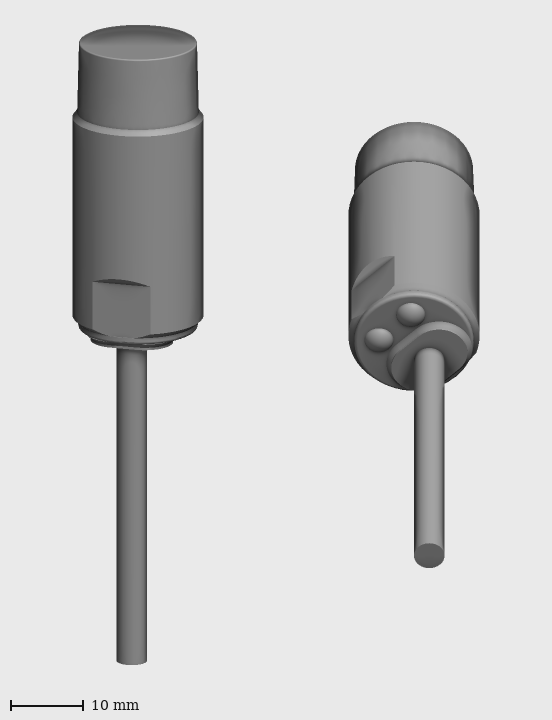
import cadquery as cq

total_height = 88.0
cap_length = 10.0
housing_length = 30.0
plate_thickness = 1.0
boss_height = 1.0

cap_base_z = total_height - cap_length
housing_base_z = cap_base_z - housing_length
plate_base_z = housing_base_z - plate_thickness
boss_base_z = plate_base_z - boss_height

housing_radius = 9.0
top_chamfer_width = 0.65
top_chamfer_height = 0.75
bottom_chamfer_width = 0.8
bottom_chamfer_height = 0.75
flat_distance = 8.0
flat_height = 7.6
flat_depth = housing_radius - flat_distance
end_radius = housing_radius - bottom_chamfer_width

cap_base_radius = housing_radius - top_chamfer_width
cap_face_radius = 8.1
cap_edge_fillet = 0.2

plate_fillet = 0.45
cable_y = -3.0
boss_length = 11.5
boss_width = 7.8
boss_flare = 0.65
flare_taper = 45.0

cable_radius = 2.1

dome_x = 3.05
dome_y = 3.75
dome_base_radius = 2.0
dome_height = 1.2
dome_sphere_radius = (dome_base_radius**2 + dome_height**2) / (2 * dome_height)


def disc(base_z, radius, height):
    """Plain cylinder on the main axis, standing on base_z."""
    return cq.Workplane("XY").workplane(offset=base_z).circle(radius).extrude(height)


def make_cap():
    """Solid sensing cap that narrows slightly towards its face."""
    return (
        cq.Workplane("XY")
        .workplane(offset=cap_base_z)
        .circle(cap_base_radius)
        .workplane(offset=cap_length)
        .circle(cap_face_radius)
        .loft(ruled=True)
        .faces(">Z")
        .edges()
        .fillet(cap_edge_fillet)
    )


def flat_cutter(side):
    """Wedge-topped block that cuts one wrench flat; side is -1 or 1 along Y."""
    flat_y = side * flat_distance
    outer_y = side * housing_radius
    flat_top_z = housing_base_z + flat_height
    return (
        cq.Workplane("YZ")
        .moveTo(flat_y, housing_base_z)
        .lineTo(flat_y, flat_top_z)
        .lineTo(outer_y, flat_top_z + flat_depth)
        .lineTo(outer_y, housing_base_z)
        .close()
        .extrude(housing_radius, both=True)
    )


def make_housing():
    """Cylinder with chamfered ends and two wrench flats at its lower end."""
    body = (
        cq.Workplane("XZ")
        .moveTo(0, housing_base_z)
        .lineTo(end_radius, housing_base_z)
        .lineTo(housing_radius, housing_base_z + bottom_chamfer_height)
        .lineTo(housing_radius, cap_base_z - top_chamfer_height)
        .lineTo(cap_base_radius, cap_base_z)
        .lineTo(0, cap_base_z)
        .close()
        .revolve(360, (0, 0), (0, 1))
    )
    for side in (-1, 1):
        body = body.cut(flat_cutter(side))
    return body


def stadium(base_z, margin):
    """Boss outline, grown outwards by margin."""
    return (
        cq.Workplane("XY")
        .workplane(offset=base_z)
        .center(0, cable_y)
        .slot2D(boss_length + 2 * margin, boss_width + 2 * margin)
    )


def make_boss():
    """Stadium boss flaring out towards the plate."""
    boss = stadium(boss_base_z, 0).extrude(boss_height)
    flare = stadium(plate_base_z, boss_flare).extrude(-boss_flare, taper=flare_taper)
    return boss.union(flare)


def make_end_plate():
    """Round-edged plate with the cable boss below it and a hole for the cable."""
    plate = disc(plate_base_z, end_radius, plate_thickness).faces("<Z").edges().fillet(plate_fillet)
    return plate.union(make_boss()).cut(make_cable())


def make_cable():
    """Straight round cable that ends against the housing."""
    return cq.Workplane("XY").center(0, cable_y).circle(cable_radius).extrude(housing_base_z)


def make_dome(x):
    """Spherical cap hanging from the underside of the end plate."""
    centre_z = plate_base_z - dome_height + dome_sphere_radius
    sphere = cq.Workplane("XY").sphere(dome_sphere_radius).translate((x, dome_y, centre_z))
    below_plate = (
        cq.Workplane("XY")
        .workplane(offset=plate_base_z)
        .center(x, dome_y)
        .circle(2 * dome_sphere_radius)
        .extrude(-2 * dome_height)
    )
    return sphere.intersect(below_plate)


cap = make_cap()
housing = make_housing()
end_plate = make_end_plate()
cable = make_cable()
domes = [make_dome(side * dome_x) for side in (-1, 1)]

result = cq.Compound.makeCompound(
    [
        cap.val(),
        housing.val(),
        end_plate.val(),
        cable.val(),
        *[dome.val() for dome in domes],
    ]
)